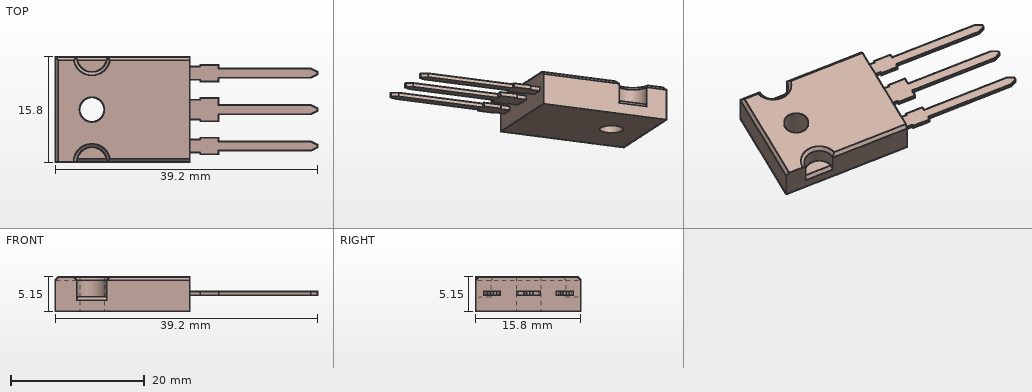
import cadquery as cq

overall_length = 39.25
body_length = 20.15
body_width = 15.75
body_height = 5.15
edge_chamfer = 0.5
half_width = body_width / 2

hole_x = 5.5
hole_diameter = 3.65
notch_radius = 2.25
notch_floor_z = 2.15

lead_length = overall_length - body_length
lead_pitch = 5.45
lead_bottom_z = 2.4
lead_thickness = 0.6
shoulder_start = 1.55
shoulder_end = 4.3
tip_length = 1.0
tip_width = 0.4
pin_width = 1.4
outer_neck_width = 2.0
outer_shoulder_width = 2.5
centre_neck_width = 3.0
centre_shoulder_width = 3.5


def side_bevel(side, x_start, x_end, corner_z):
    """Triangular bar that bevels an edge at height corner_z on the side face (+1 or -1 in Y)."""
    face_y = side * half_width
    return (
        cq.Workplane("YZ", origin=(x_start, 0, 0))
        .moveTo(face_y, corner_z)
        .lineTo(face_y - side * edge_chamfer, corner_z)
        .lineTo(face_y, corner_z - edge_chamfer)
        .close()
        .extrude(x_end - x_start)
    )


def make_body():
    """Block bevelled along the rear top edge and side top edges, with a mounting hole."""
    block = (
        cq.Workplane("XY")
        .box(body_length, body_width, body_height, centered=(False, True, False))
        .edges("<X and >Z")
        .chamfer(edge_chamfer)
    )
    block = block.cut(side_bevel(-1, hole_x, body_length, body_height))
    block = block.cut(side_bevel(1, 0, body_length, body_height))
    hole = cq.Workplane("XY").center(hole_x, 0).circle(hole_diameter / 2).extrude(body_height)
    return block.cut(hole)


def notch_cutter(side):
    """Round pocket centred on a side face, with a bevelled rim and a bevelled floor edge."""
    rim_radius = notch_radius + edge_chamfer
    pocket = (
        cq.Workplane("XZ", origin=(hole_x, side * half_width, 0))
        .moveTo(0, notch_floor_z)
        .lineTo(notch_radius, notch_floor_z)
        .lineTo(notch_radius, body_height - edge_chamfer)
        .lineTo(rim_radius, body_height)
        .lineTo(0, body_height)
        .close()
        .revolve(360, (0, 0, 0), (0, 1, 0))
    )
    below_floor = (
        cq.Workplane("XY", origin=(hole_x, side * half_width, notch_floor_z - edge_chamfer))
        .circle(notch_radius)
        .extrude(edge_chamfer)
    )
    floor_bevel = side_bevel(side, hole_x - notch_radius, hole_x + notch_radius, notch_floor_z)
    return pocket.union(floor_bevel.intersect(below_floor))


def make_lead(y_centre, neck_width, shoulder_width):
    """Flat lead: neck, wider shoulder, slim pin and tapered tip."""
    return (
        cq.Workplane("XY", origin=(body_length, y_centre, lead_bottom_z))
        .moveTo(0, 0)
        .lineTo(0, neck_width / 2)
        .lineTo(shoulder_start, neck_width / 2)
        .lineTo(shoulder_start, shoulder_width / 2)
        .lineTo(shoulder_end, shoulder_width / 2)
        .lineTo(shoulder_end, pin_width / 2)
        .lineTo(lead_length - tip_length, pin_width / 2)
        .lineTo(lead_length, tip_width / 2)
        .lineTo(lead_length, 0)
        .mirrorX()
        .extrude(lead_thickness)
    )


result = make_body()
for side in (-1, 1):
    result = result.cut(notch_cutter(side))
    result = result.union(make_lead(side * lead_pitch, outer_neck_width, outer_shoulder_width))
result = result.union(make_lead(0, centre_neck_width, centre_shoulder_width))